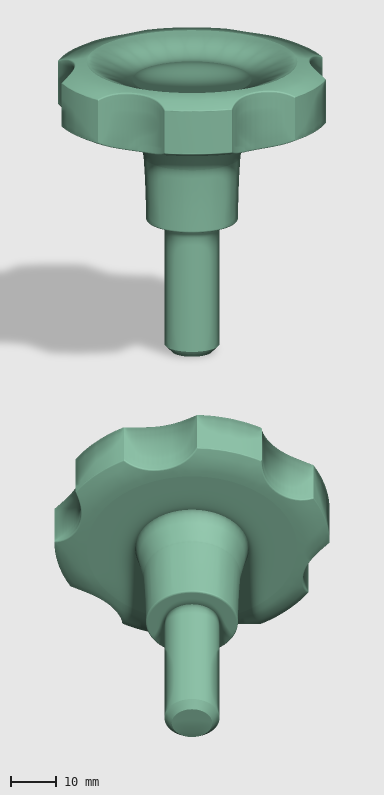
import cadquery as cq
import math

total_height = 66.0

head_radius = 60.0 / 2
head_height = 13.7
head_bottom = total_height - head_height
crown_radius = 14.0
crown_inner_radius = 23.0
crown_reach = head_radius - crown_inner_radius
crown_drop = crown_radius - math.sqrt(crown_radius**2 - crown_reach**2)

scallop_count = 6
scallop_radius = 12.0
scallop_floor = 25.7
edge_round = 0.3
flat_clearance = 0.005

dish_depth = 4.0
dish_floor_radius = 13.0

neck_top_radius = 12.4
neck_waist_radius = 10.55
neck_bottom_radius = 10.0
neck_flare_sag = 0.1
neck_waist_height = 44.5
neck_bottom_height = 29.95
neck_edge_round = 0.4

stud_radius = 12.0 / 2
stud_chamfer = 1.6


def crown_middle(flat_height, direction):
    """Point halfway along a crown arc; direction is +1 upward or -1 downward."""
    half_reach = crown_reach / 2
    drop = crown_radius - math.sqrt(crown_radius**2 - half_reach**2)
    return (crown_inner_radius + half_reach, flat_height - direction * drop)


def make_head():
    blank = (
        cq.Workplane("XZ")
        .moveTo(0, head_bottom)
        .lineTo(crown_inner_radius, head_bottom)
        .threePointArc(crown_middle(head_bottom, -1), (head_radius, head_bottom + crown_drop))
        .lineTo(head_radius, total_height - crown_drop)
        .threePointArc(crown_middle(total_height, 1), (crown_inner_radius, total_height))
        .lineTo(0, total_height)
        .close()
        .revolve(360, (0, 0, 0), (0, 1, 0))
    )
    scallops = (
        cq.Workplane("XY")
        .workplane(offset=head_bottom)
        .polarArray(scallop_floor + scallop_radius, 0, 360, scallop_count)
        .circle(scallop_radius)
        .extrude(head_height)
    )
    head = blank.cut(scallops)
    reach = 2 * head_radius
    between_flats = cq.selectors.BoxSelector(
        (-reach, -reach, head_bottom + flat_clearance),
        (reach, reach, total_height - flat_clearance),
    )
    return head.edges(between_flats).edges("not |Z").fillet(edge_round)


def make_dish():
    return (
        cq.Workplane("XZ")
        .moveTo(0, total_height)
        .lineTo(crown_inner_radius, total_height)
        .lineTo(dish_floor_radius, total_height - dish_depth)
        .lineTo(0, total_height - dish_depth)
        .close()
        .revolve(360, (0, 0, 0), (0, 1, 0))
    )


def hollow_middle(lower, upper):
    """Midpoint of a neck arc, set inward from the middle of its chord."""
    return ((lower[0] + upper[0]) / 2 - neck_flare_sag, (lower[1] + upper[1]) / 2)


def make_neck():
    bottom = (neck_bottom_radius, neck_bottom_height)
    waist = (neck_waist_radius, neck_waist_height)
    top = (neck_top_radius, head_bottom)
    neck = (
        cq.Workplane("XZ")
        .moveTo(0, neck_bottom_height)
        .lineTo(*bottom)
        .threePointArc(hollow_middle(bottom, waist), waist)
        .threePointArc(hollow_middle(waist, top), top)
        .lineTo(0, head_bottom)
        .close()
        .revolve(360, (0, 0, 0), (0, 1, 0))
    )
    return neck.faces("<Z").edges().fillet(neck_edge_round)


def make_stud():
    stud = cq.Workplane("XY").circle(stud_radius).extrude(neck_bottom_height)
    return stud.faces("<Z").chamfer(stud_chamfer)


result = make_head().cut(make_dish()).union(make_neck()).union(make_stud())